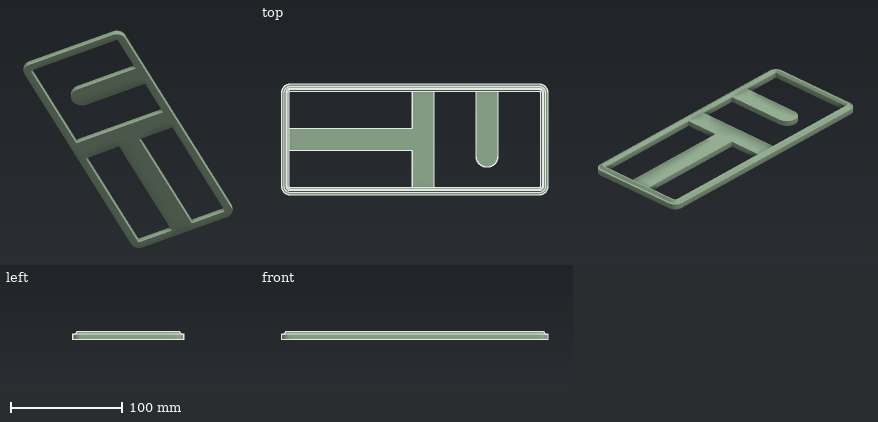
import cadquery as cq

LENGTH = 240.0
WIDTH = 100.0
CORNER_RADIUS = 8.2
BASE_HEIGHT = 5.0
TOTAL_HEIGHT = 7.5

LEDGE_WIDTH = 2.28
SLOPE_RUN = 1.7
CREST_WIDTH = 1.2
RIM_CREST_OUTER_INSET = LEDGE_WIDTH + SLOPE_RUN
RIM_CREST_INNER_INSET = RIM_CREST_OUTER_INSET + CREST_WIDTH
FRAME_WIDTH = RIM_CREST_INNER_INSET + SLOPE_RUN

BAR_WIDTH = 20.0
CROSS_BAR_RIGHT = 17.5
TONGUE_X = 65.0
TONGUE_TIP_Y = -25.0

OPENING_LEFT = -LENGTH / 2 + FRAME_WIDTH
OPENING_TOP = WIDTH / 2 - FRAME_WIDTH


def rounded_wire(inset, z):
    """Rounded rectangle running parallel to the outer edge of the frame."""
    plate = cq.Workplane("XY").rect(LENGTH - 2 * inset, WIDTH - 2 * inset).extrude(TOTAL_HEIGHT)
    plate = plate.edges("|Z").fillet(CORNER_RADIUS - inset)
    return plate.faces("<Z").val().outerWire().translate(cq.Vector(0, 0, z))


def rounded_block(bottom_inset, top_inset, bottom_z, top_z):
    """Rounded block with straight or sloping sides."""
    bottom = rounded_wire(bottom_inset, bottom_z)
    top = rounded_wire(top_inset, top_z)
    return cq.Workplane(cq.Solid.makeLoft([bottom, top], True))


def make_frame():
    """Flat base ring carrying a rim that slopes on both sides."""
    base = rounded_block(0, 0, 0, BASE_HEIGHT)
    rim = rounded_block(LEDGE_WIDTH, RIM_CREST_OUTER_INSET, BASE_HEIGHT, TOTAL_HEIGHT)
    opening = rounded_block(FRAME_WIDTH, FRAME_WIDTH, 0, BASE_HEIGHT)
    funnel = rounded_block(FRAME_WIDTH, RIM_CREST_INNER_INSET, BASE_HEIGHT, TOTAL_HEIGHT)
    return base.union(rim).cut(opening).cut(funnel)


def make_tee():
    """Cross bar over the full opening width, with a long bar to the left end."""
    cross_bar_left = CROSS_BAR_RIGHT - BAR_WIDTH
    return (
        cq.Workplane("XY")
        .moveTo(CROSS_BAR_RIGHT, OPENING_TOP)
        .lineTo(cross_bar_left, OPENING_TOP)
        .lineTo(cross_bar_left, BAR_WIDTH / 2)
        .lineTo(OPENING_LEFT, BAR_WIDTH / 2)
        .lineTo(OPENING_LEFT, -BAR_WIDTH / 2)
        .lineTo(cross_bar_left, -BAR_WIDTH / 2)
        .lineTo(cross_bar_left, -OPENING_TOP)
        .lineTo(CROSS_BAR_RIGHT, -OPENING_TOP)
        .close()
        .extrude(BASE_HEIGHT)
    )


def make_tongue():
    """Bar hanging from the +Y side of the frame with a round free end."""
    left = TONGUE_X - BAR_WIDTH / 2
    right = TONGUE_X + BAR_WIDTH / 2
    arc_y = TONGUE_TIP_Y + BAR_WIDTH / 2
    return (
        cq.Workplane("XY")
        .moveTo(left, OPENING_TOP)
        .lineTo(left, arc_y)
        .threePointArc((TONGUE_X, TONGUE_TIP_Y), (right, arc_y))
        .lineTo(right, OPENING_TOP)
        .close()
        .extrude(BASE_HEIGHT)
    )


frame = make_frame()
tee = make_tee()
tongue = make_tongue()

result = cq.Compound.makeCompound([frame.solids().val(), tee.val(), tongue.val()])